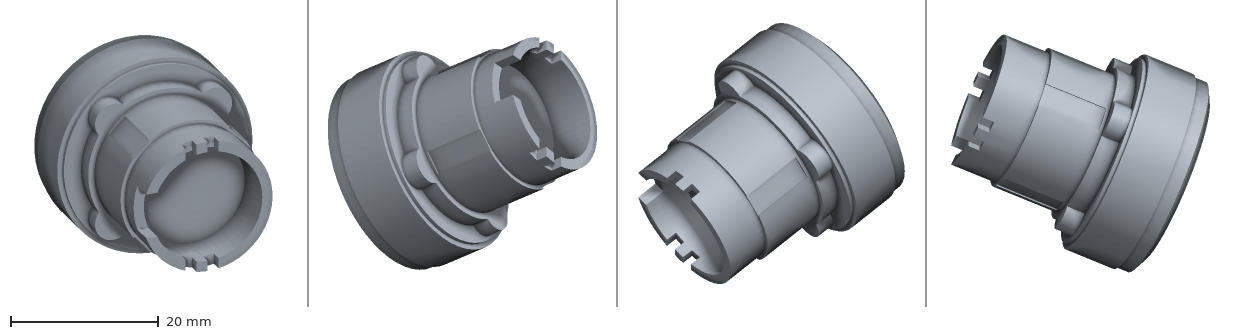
import cadquery as cq
import math

CHAMFER_END = 1.0
FLANGE_START = 3.05
FLANGE_END = 10.1
SEAT_END = 10.65
COLLAR_END = 13.2
BODY_END = 22.6
TOTAL_LENGTH = 28.95

FACE_RADIUS = 12.0
BUTTON_RADIUS = 13.9
FLANGE_RADIUS = 14.25
SEAT_RADIUS = 13.5
COLLAR_RADIUS = 11.0
BODY_RADIUS = 10.1
NECK_RADIUS = 9.5
BORE_RADIUS = 8.0

DIAGONALS = (45, 135, 225, 315)
LUG_RADIUS = 2.65
LUG_OFFSET = 7.35
POCKET_START = 13.65
POCKET_WIDTH = 3.35
POCKET_FLOOR = 9.75

SIDE_SLOT_WIDTH = 6.4
SIDE_SLOT_DEPTH = 3.15
NOTCH_WIDTH = 1.6
NOTCH_DEPTH = 1.65
NOTCH_PITCH = 2 * NOTCH_WIDTH
NOTCH_CENTERS_Y = (NOTCH_WIDTH / 2, NOTCH_WIDTH / 2 - NOTCH_PITCH)

CUTTER_REACH = FLANGE_RADIUS + 1.0


def box(x_range, y_range, z_range):
    """Axis-aligned box between the given limits."""
    (x0, x1), (y0, y1), (z0, z1) = x_range, y_range, z_range
    return cq.Workplane("XY").box(x1 - x0, y1 - y0, z1 - z0, centered=False).translate((x0, y0, z0))


def cylinder(x_start, x_end, radius, y=0, z=0):
    """Cylinder parallel to X between two stations."""
    return cq.Workplane("YZ", origin=(x_start, y, z)).circle(radius).extrude(x_end - x_start)


def turned_body():
    """Stepped solid of revolution about X, from button face to neck."""
    profile = (
        cq.Workplane("XY")
        .moveTo(0, 0)
        .lineTo(0, FACE_RADIUS)
        .lineTo(CHAMFER_END, BUTTON_RADIUS)
        .lineTo(FLANGE_START, BUTTON_RADIUS)
        .lineTo(FLANGE_START, FLANGE_RADIUS)
        .lineTo(FLANGE_END, FLANGE_RADIUS)
        .lineTo(FLANGE_END, SEAT_RADIUS)
        .lineTo(SEAT_END, SEAT_RADIUS)
        .lineTo(SEAT_END, COLLAR_RADIUS)
        .lineTo(COLLAR_END, COLLAR_RADIUS)
        .lineTo(COLLAR_END, BODY_RADIUS)
        .lineTo(BODY_END, BODY_RADIUS)
        .lineTo(BODY_END, NECK_RADIUS)
        .lineTo(TOTAL_LENGTH, NECK_RADIUS)
        .lineTo(TOTAL_LENGTH, 0)
        .close()
    )
    return profile.revolve(360, (0, 0, 0), (1, 0, 0))


def collar_lug(angle):
    """Round lug on the collar, on the diagonal at the given angle about X."""
    axis_distance = math.hypot(LUG_OFFSET, LUG_OFFSET)
    lug_y = axis_distance * math.cos(math.radians(angle))
    lug_z = axis_distance * math.sin(math.radians(angle))
    return cylinder(SEAT_END, COLLAR_END, LUG_RADIUS, lug_y, lug_z)


def body_pocket(angle):
    """Flat-floored shallow pocket cutter, open towards the neck."""
    half_width = POCKET_WIDTH / 2
    cutter = box((POCKET_START, BODY_END), (POCKET_FLOOR, CUTTER_REACH), (-half_width, half_width))
    return cutter.rotate((0, 0, 0), (1, 0, 0), angle)


def side_slot():
    """Cutter for the wide slot through the -Y wall of the neck."""
    half_width = SIDE_SLOT_WIDTH / 2
    x_range = (TOTAL_LENGTH - SIDE_SLOT_DEPTH, TOTAL_LENGTH)
    return box(x_range, (-CUTTER_REACH, 0), (-half_width, half_width))


def end_notch(center_y):
    """Cutter for a narrow notch through the +Z and -Z walls of the neck."""
    x_range = (TOTAL_LENGTH - NOTCH_DEPTH, TOTAL_LENGTH)
    y_range = (center_y - NOTCH_WIDTH / 2, center_y + NOTCH_WIDTH / 2)
    return box(x_range, y_range, (-CUTTER_REACH, CUTTER_REACH))


result = turned_body()
for diagonal in DIAGONALS:
    result = result.union(collar_lug(diagonal))
    result = result.cut(body_pocket(diagonal))

result = result.cut(cylinder(BODY_END, TOTAL_LENGTH, BORE_RADIUS))
result = result.cut(side_slot())
for notch_y in NOTCH_CENTERS_Y:
    result = result.cut(end_notch(notch_y))